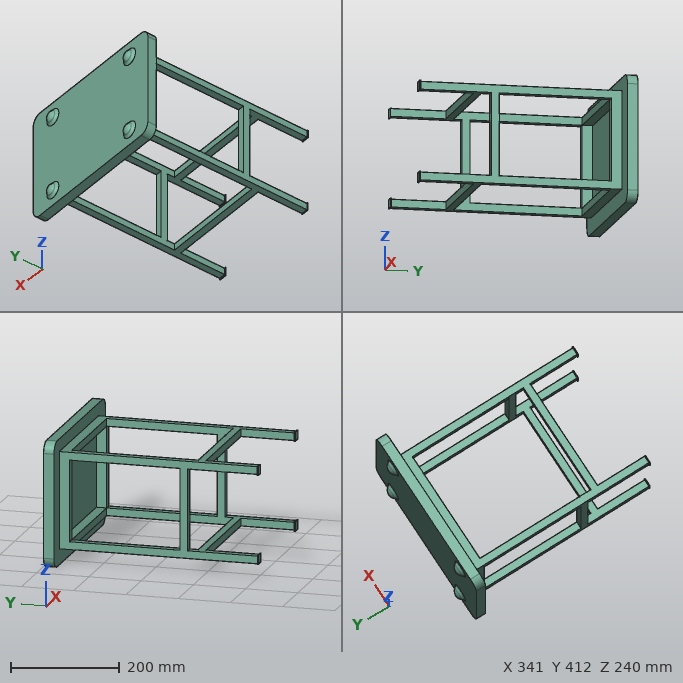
import cadquery as cq
import math

TOTAL_HEIGHT = 412.0

SEAT_LENGTH = 341.0
SEAT_WIDTH = 240.0
SEAT_THICKNESS = 20.0
SEAT_CORNER_RADIUS = 20.0

HEAD_HEIGHT = 10.5
HEAD_RADIUS = 17.7
CROWN_RADIUS = 12.0
SKIRT_HEIGHT = 5.5
SKIRT_SAG = 0.5
HEAD_SPACING_X = 228.2
HEAD_SPACING_Z = 171.0
HEAD_CENTRE_X = -2.0
HEAD_CENTRE_Z = 0.5

BAR = 15.0
FRAME_LEFT = -135.5
FRAME_RIGHT = 124.0
FRAME_BOTTOM = -89.5
FRAME_TOP = 96.0
APRON_DEPTH = 19.8
LONG_STRETCHER_DROP = 262.0
SHORT_STRETCHER_DROP = 231.0

FOOT_THICKNESS = 2.0
LEG_LENGTH = TOTAL_HEIGHT - HEAD_HEIGHT - SEAT_THICKNESS - FOOT_THICKNESS

LEFT_BAR = FRAME_LEFT
RIGHT_BAR = FRAME_RIGHT - BAR
BOTTOM_BAR = FRAME_BOTTOM
TOP_BAR = FRAME_TOP - BAR


def block(x_limits, y_limits, z_limits):
    """Rectangular block between the given limits along each axis."""
    (x0, x1), (y0, y1), (z0, z1) = x_limits, y_limits, z_limits
    return cq.Workplane("XY").box(x1 - x0, y1 - y0, z1 - z0, centered=False).translate((x0, y0, z0))


def bar_limits(start):
    """Limits of one bar section that begins at start."""
    return (start, start + BAR)


def make_seat():
    """Flat board with rounded corners."""
    return (
        cq.Workplane("XZ")
        .rect(SEAT_LENGTH, SEAT_WIDTH)
        .extrude(-SEAT_THICKNESS)
        .edges("|Y")
        .fillet(SEAT_CORNER_RADIUS)
    )


def make_screw_head(x, z):
    """Screw head revolved about Y, resting on the upper face of the seat."""
    crown_rise = HEAD_HEIGHT - SKIRT_HEIGHT
    sphere_radius = (CROWN_RADIUS**2 + crown_rise**2) / (2 * crown_rise)
    sphere_centre = HEAD_HEIGHT - sphere_radius
    crown_mid_radius = CROWN_RADIUS / 2
    crown_mid = (crown_mid_radius, sphere_centre + math.sqrt(sphere_radius**2 - crown_mid_radius**2))
    skirt_mid = ((CROWN_RADIUS + HEAD_RADIUS) / 2 - SKIRT_SAG, SKIRT_HEIGHT / 2 - SKIRT_SAG)
    return (
        cq.Workplane("XY")
        .moveTo(0, 0)
        .lineTo(HEAD_RADIUS, 0)
        .threePointArc(skirt_mid, (CROWN_RADIUS, SKIRT_HEIGHT))
        .threePointArc(crown_mid, (0, HEAD_HEIGHT))
        .close()
        .revolve(360, (0, 0), (0, 1))
        .translate((x, SEAT_THICKNESS, z))
    )


def make_foot(leg_x, leg_z, left, right, below, above):
    """Plate on the end of one leg, overhanging its four sides by the given amounts."""
    return block(
        (leg_x - left, leg_x + BAR + right),
        (-LEG_LENGTH - FOOT_THICKNESS, -LEG_LENGTH),
        (leg_z - below, leg_z + BAR + above),
    )


def make_frame():
    """Four legs with foot plates, joined by an apron ring and four stretchers."""
    full_x = (FRAME_LEFT, FRAME_RIGHT)
    full_z = (FRAME_BOTTOM, FRAME_TOP)
    leg_y = (-LEG_LENGTH, 0)
    apron_y = (-APRON_DEPTH, 0)
    long_stretcher_y = bar_limits(-LONG_STRETCHER_DROP - BAR)
    short_stretcher_y = bar_limits(-SHORT_STRETCHER_DROP - BAR)

    members = []
    for z in (BOTTOM_BAR, TOP_BAR):
        members.append(block(full_x, apron_y, bar_limits(z)))
        members.append(block(full_x, long_stretcher_y, bar_limits(z)))
    for x in (LEFT_BAR, RIGHT_BAR):
        members.append(block(bar_limits(x), apron_y, full_z))
        members.append(block(bar_limits(x), short_stretcher_y, full_z))

    for x in (LEFT_BAR, RIGHT_BAR):
        for z in (BOTTOM_BAR, TOP_BAR):
            members.append(block(bar_limits(x), leg_y, bar_limits(z)))

    members.append(make_foot(LEFT_BAR, BOTTOM_BAR, left=0.5, right=1.2, below=0.5, above=1.5))
    members.append(make_foot(RIGHT_BAR, BOTTOM_BAR, left=2.0, right=0.5, below=2.0, above=1.2))
    members.append(make_foot(LEFT_BAR, TOP_BAR, left=1.5, right=0.0, below=1.5, above=0.5))
    members.append(make_foot(RIGHT_BAR, TOP_BAR, left=1.5, right=1.5, below=1.0, above=1.5))

    frame = members[0]
    for member in members[1:]:
        frame = frame.union(member)
    return frame.clean()


seat = make_seat()
frame = make_frame()

screw_heads = []
for x_side in (-1, 1):
    for z_side in (-1, 1):
        head_x = HEAD_CENTRE_X + x_side * HEAD_SPACING_X / 2
        head_z = HEAD_CENTRE_Z + z_side * HEAD_SPACING_Z / 2
        screw_heads.append(make_screw_head(head_x, head_z))

result = cq.Compound.makeCompound(
    [seat.solids().val(), frame.solids().val(), *[head.val() for head in screw_heads]]
)